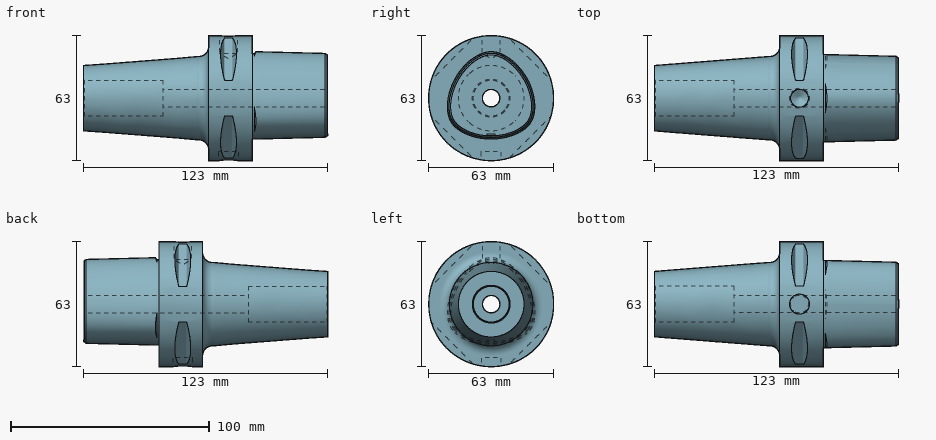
import cadquery as cq
import math


total_length = 123.0
flange_start = 63.0
flange_width = 22.0
flange_end = flange_start + flange_width
mark_height = 0.35
shank_end = total_length - mark_height

nose_tip_dia = 33.0
nose_root_dia = 42.0
nose_root_fillet = 5.0
nose_root_land = 0.8
flange_dia = 63.0
flange_radius = flange_dia / 2

bore_dia = 18.0
bore_mouth_dia = 19.0
bore_depth = 40.0
through_dia = 8.65

shank_mean_radius = 22.0
lobe_height = 1.4
lobe_count = 3
first_lobe_angle = 90.0
points_per_lobe = 24
neck_length = 1.8
neck_blend_length = 1.3
taper_per_side = 1 / 40
end_chamfer_length = 1.1
end_chamfer_depth = 0.8
relief_dia = 44.9
relief_width = 1.0
relief_end = neck_length
relief_end_dia = 2 * (shank_mean_radius + lobe_height)

groove_plane_x = 73.0
slot_floor_width = 4.0
slot_floor_fillet = 0.5
slot_mouth_width = 8.0
slot_floor_radius = 27.7
slot_count = 4
slot_first_angle = 45.0
index_hole_dia = 9.0
index_hole_depth = 9.0
drill_point_angle = 118.0
chip_hole_dia = 10.0
chip_hole_depth = 4.6

mark_width = 4.0
mark_thickness = 0.7
mark_z = -18.3


def revolve_about_x(profile):
    """Turn a closed (x, radius) profile about the X axis."""
    return profile.close().revolve(360, (0, 0, 0), (1, 0, 0))


def make_turned_body():
    """Tapered nose, its root fillet and the flange."""
    nose_root_radius = nose_root_dia / 2
    fillet_start = flange_start - nose_root_fillet
    fillet_mid_offset = nose_root_fillet * math.sin(math.radians(45))
    fillet_mid = (
        fillet_start + fillet_mid_offset,
        nose_root_radius + nose_root_fillet - fillet_mid_offset,
    )
    profile = (
        cq.Workplane("XY")
        .moveTo(0, 0)
        .lineTo(0, nose_tip_dia / 2)
        .lineTo(fillet_start - nose_root_land, nose_root_radius)
        .lineTo(fillet_start, nose_root_radius)
        .threePointArc(fillet_mid, (flange_start, nose_root_radius + nose_root_fillet))
        .lineTo(flange_start, flange_radius)
        .lineTo(flange_end, flange_radius)
        .lineTo(flange_end, 0)
    )
    return revolve_about_x(profile)


def polygon_point(x, mean_radius, angle):
    """Point of the constant-width lobed curve whose outward normal is at the given angle."""
    lobe_phase = lobe_count * (angle - math.radians(first_lobe_angle))
    support = mean_radius + lobe_height * math.cos(lobe_phase)
    slope = -lobe_count * lobe_height * math.sin(lobe_phase)
    y = support * math.cos(angle) - slope * math.sin(angle)
    z = support * math.sin(angle) + slope * math.cos(angle)
    return cq.Vector(x, y, z)


def polygon_wire(x, mean_radius):
    """Closed lobed outline at x, one curve per lobe, joined at the flats between lobes."""
    lobe_span = 2 * math.pi / lobe_count
    edges = []
    for lobe in range(lobe_count):
        start = math.radians(first_lobe_angle) + (lobe - 0.5) * lobe_span
        angles = [start + lobe_span * i / points_per_lobe for i in range(points_per_lobe + 1)]
        points = [polygon_point(x, mean_radius, angle) for angle in angles]
        tangents = [cq.Vector(0, -math.sin(a), math.cos(a)) for a in (angles[0], angles[-1])]
        edges.append(cq.Edge.makeSpline(points, tangents=tangents))
    return cq.Wire.assembleEdges(edges)


def make_shank():
    """Straight neck, half-taper blend, full taper and end chamfer of the polygon shank."""
    neck_end = flange_end + neck_length
    taper_start = neck_end + neck_blend_length
    taper_end = shank_end - end_chamfer_length
    taper_start_radius = shank_mean_radius - taper_per_side / 2 * neck_blend_length
    taper_end_radius = taper_start_radius - taper_per_side * (taper_end - taper_start)
    outlines = [
        polygon_wire(flange_end, shank_mean_radius),
        polygon_wire(neck_end, shank_mean_radius),
        polygon_wire(taper_start, taper_start_radius),
        polygon_wire(taper_end, taper_end_radius),
        polygon_wire(shank_end, taper_end_radius - end_chamfer_depth),
    ]
    return cq.Workplane(cq.Solid.makeLoft(outlines, True))


def make_lobe_relief():
    """Ring beside the flange that trims the lobe tips."""
    profile = (
        cq.Workplane("XY")
        .moveTo(flange_end, relief_dia / 2)
        .lineTo(flange_end + relief_width, relief_dia / 2)
        .lineTo(flange_end + relief_end, relief_end_dia / 2)
        .lineTo(flange_end + relief_end, flange_radius)
        .lineTo(flange_end, flange_radius)
    )
    return revolve_about_x(profile)


def make_bore():
    """Chamfered tool bore with a smaller hole on through the shank."""
    mouth_chamfer = (bore_mouth_dia - bore_dia) / 2
    profile = (
        cq.Workplane("XY")
        .moveTo(0, 0)
        .lineTo(0, bore_mouth_dia / 2)
        .lineTo(mouth_chamfer, bore_dia / 2)
        .lineTo(bore_depth, bore_dia / 2)
        .lineTo(bore_depth, through_dia / 2)
        .lineTo(total_length, through_dia / 2)
        .lineTo(total_length, 0)
    )
    return revolve_about_x(profile)


def make_slot(angle):
    """Straight flared slot across the flange rim, rounded along its floor, at an angle about X."""
    half_floor = slot_floor_width / 2
    half_mouth = slot_mouth_width / 2
    slot = (
        cq.Workplane("XZ", origin=(groove_plane_x, flange_radius, 0))
        .polyline([
            (-half_floor, slot_floor_radius),
            (half_floor, slot_floor_radius),
            (half_mouth, flange_radius),
            (-half_mouth, flange_radius),
        ])
        .close()
        .extrude(flange_dia)
    )
    slot = slot.faces("<Z").edges("|Y").fillet(slot_floor_fillet)
    return slot.rotate((0, 0, 0), (1, 0, 0), angle)


def make_index_hole():
    """Drilled hole from the +Z side of the flange, with a conical bottom."""
    hole_radius = index_hole_dia / 2
    shoulder_z = flange_radius - index_hole_depth
    tip_z = shoulder_z - hole_radius / math.tan(math.radians(drill_point_angle / 2))
    profile = (
        cq.Workplane("XZ", origin=(groove_plane_x, 0, 0))
        .moveTo(0, tip_z)
        .lineTo(hole_radius, shoulder_z)
        .lineTo(hole_radius, flange_radius)
        .lineTo(0, flange_radius)
        .close()
    )
    return profile.revolve(360, (0, 0, 0), (0, 1, 0))


def make_chip_hole():
    """Flat-bottomed hole from the -Z side of the flange."""
    return (
        cq.Workplane("XY", origin=(groove_plane_x, 0, -flange_radius))
        .circle(chip_hole_dia / 2)
        .extrude(chip_hole_depth)
    )


def make_end_mark():
    """Small raised bar on the shank end face, next to the flat on the -Z side."""
    root = 2 * mark_height
    return (
        cq.Workplane("YZ", origin=(shank_end - root, 0, 0))
        .center(0, mark_z)
        .rect(mark_width, mark_thickness)
        .extrude(root + mark_height)
    )


shank = make_shank().cut(make_lobe_relief())
result = make_turned_body().union(shank).union(make_end_mark())
result = result.cut(make_bore())
for index in range(slot_count):
    result = result.cut(make_slot(slot_first_angle + index * 360 / slot_count))
result = result.cut(make_index_hole()).cut(make_chip_hole())